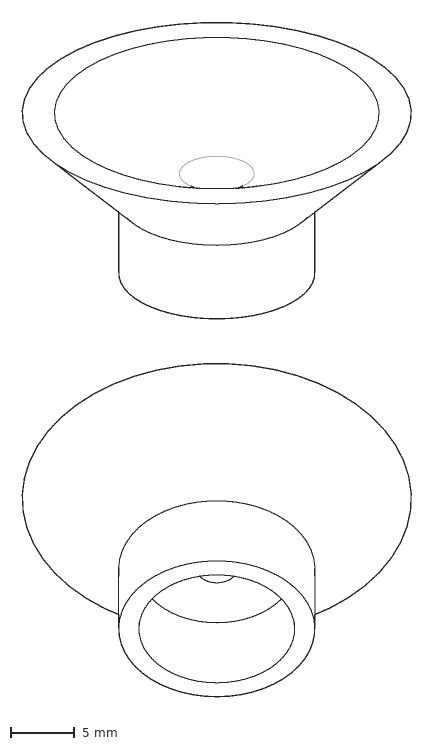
import cadquery as cq
import math

flange_diameter = 30.48
total_height = 14.17

collar_diameter = 15.35
collar_height = 6.52
socket_diameter = 12.2
socket_depth = collar_height

bowl_diameter = 25.42
throat_top_diameter = 5.85
hole_diameter = 3.17
throat_round_radius = 2.62

flange_radius = flange_diameter / 2
collar_radius = collar_diameter / 2
socket_radius = socket_diameter / 2
bowl_radius = bowl_diameter / 2
throat_top_radius = throat_top_diameter / 2
hole_radius = hole_diameter / 2

arc_center_radius = hole_radius + throat_round_radius
arc_angle = math.acos((arc_center_radius - throat_top_radius) / throat_round_radius)


def throat_point(angle):
    """Point on the throat arc, at an angle measured up from the hole edge."""
    radius = arc_center_radius - throat_round_radius * math.cos(angle)
    height = socket_depth + throat_round_radius * math.sin(angle)
    return radius, height


section = (
    cq.Workplane("XZ")
    .moveTo(socket_radius, 0)
    .lineTo(collar_radius, 0)
    .lineTo(collar_radius, collar_height)
    .lineTo(flange_radius, total_height)
    .lineTo(bowl_radius, total_height)
    .lineTo(*throat_point(arc_angle))
    .threePointArc(throat_point(arc_angle / 2), (hole_radius, socket_depth))
    .lineTo(socket_radius, socket_depth)
    .close()
)

result = section.revolve(360, (0, 0, 0), (0, 1, 0))